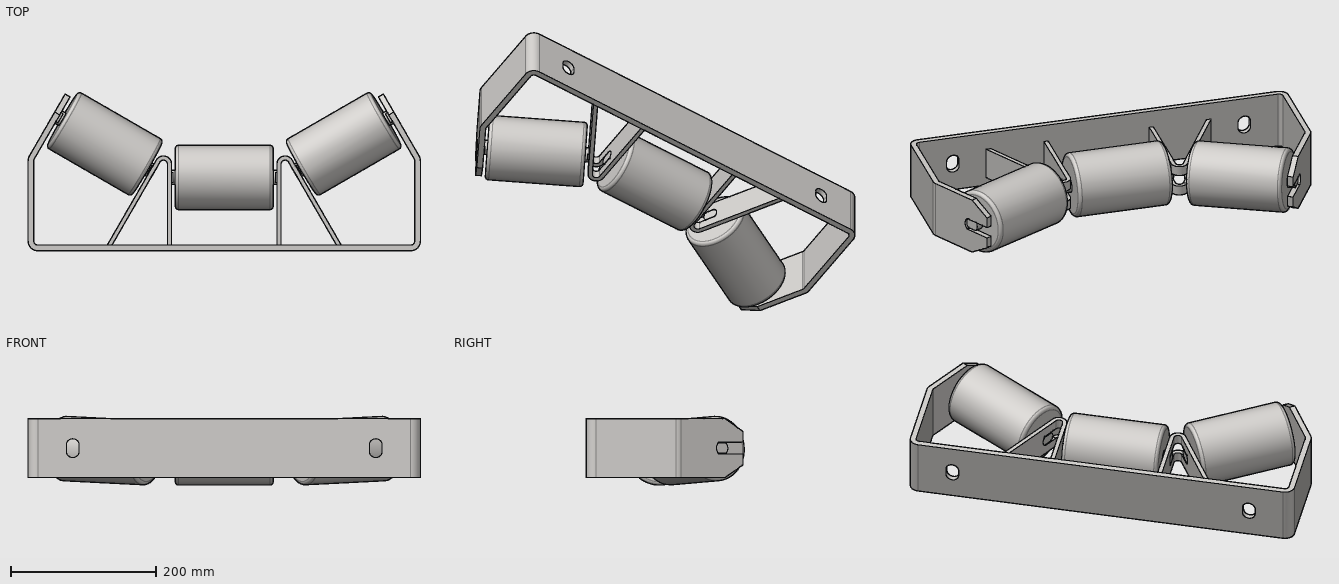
import cadquery as cq
import math


FRAME_LENGTH = 540.0
FRAME_WIDTH = 81.0
FRAME_THICKNESS = 8.0
FRAME_BEND_RADIUS = 13.5
WALL_HEIGHT = 127.5
ARM_LENGTH = 102.0
ARM_ANGLE = 30.0
TIP_CHAMFER_LENGTH = 28.5
TIP_CHAMFER_WIDTH = 17.5
MOUNT_SLOT_SPACING = 417.0
MOUNT_SLOT_HEIGHT = 26.0
MOUNT_SLOT_WIDTH = 18.0

ROLLER_DIAMETER = 89.0
ROLLER_LENGTH = 135.0
ROLLER_FILLET = 5.0
SIDE_GAP = 5.0
SHAFT_DIAMETER = 20.0
SHAFT_FLATS = 14.0
FLAT_LEAD = 1.5
AXIS_HEIGHT = 101.0
AXIS_DROP = 6.5
SIDE_BELOW_BEND = 16.0
SIDE_TILT = 2.5

BRACKET_THICKNESS = 6.0
BRACKET_BEND_RADIUS = 11.5
BRACKET_HEIGHT = 130.5
BRACKET_WIDTH = 44.5
SHAFT_SLOT_WIDTH = 16.0

LEAN_SIN = math.sin(math.radians(ARM_ANGLE))
LEAN_COS = math.cos(math.radians(ARM_ANGLE))
PLATE_OFFSET = ROLLER_LENGTH / 2 + SIDE_GAP
SHAFT_LENGTH = 2 * (PLATE_OFFSET + BRACKET_THICKNESS)
BEND_X = -(PLATE_OFFSET + BRACKET_BEND_RADIUS)
BEND_Y = BRACKET_HEIGHT - BRACKET_BEND_RADIUS
SIDE_REACH = BRACKET_BEND_RADIUS + PLATE_OFFSET
SIDE_X = BEND_X - SIDE_REACH * LEAN_COS - SIDE_BELOW_BEND * LEAN_SIN
SIDE_Y = BEND_Y + SIDE_REACH * LEAN_SIN - SIDE_BELOW_BEND * LEAN_COS
SIDE_Z = PLATE_OFFSET * math.sin(math.radians(SIDE_TILT)) - AXIS_DROP

CENTRE_PLANE = cq.Plane((0, AXIS_HEIGHT, -AXIS_DROP), (0, 1, 0), (-1, 0, 0))
SIDE_PLANE = cq.Plane(
    (SIDE_X, SIDE_Y, SIDE_Z),
    (LEAN_SIN, LEAN_COS, 0),
    (-LEAN_COS, LEAN_SIN, math.tan(math.radians(SIDE_TILT))),
)


def mirrored(body):
    return body.mirror("YZ")


def make_roller(plane):
    """Roller with its shaft; the shaft ends are flattened where they enter the plates."""
    flats_offset = PLATE_OFFSET - FLAT_LEAD
    drum = (
        cq.Workplane(plane)
        .workplane(offset=-ROLLER_LENGTH / 2)
        .circle(ROLLER_DIAMETER / 2)
        .extrude(ROLLER_LENGTH)
        .faces(cq.selectors.ParallelDirSelector(plane.zDir))
        .edges()
        .fillet(ROLLER_FILLET)
    )
    round_shaft = cq.Workplane(plane).circle(SHAFT_DIAMETER / 2).extrude(flats_offset, both=True)
    flat_shaft = (
        cq.Workplane(plane)
        .circle(SHAFT_DIAMETER / 2)
        .extrude(SHAFT_LENGTH / 2, both=True)
        .intersect(cq.Workplane(plane).box(SHAFT_DIAMETER, SHAFT_FLATS, SHAFT_LENGTH))
    )
    return drum.union(round_shaft).union(flat_shaft)


def shaft_slot(plane, end, length):
    """Cutter for an open slot with a round seat, at one end (+1 or -1) of a shaft."""
    radius = SHAFT_DIAMETER / 2
    half_width = SHAFT_SLOT_WIDTH / 2
    seat_x = -math.sqrt(radius**2 - half_width**2)
    depth = SIDE_GAP + 2 * FRAME_THICKNESS
    return (
        cq.Workplane(plane)
        .workplane(offset=end * ROLLER_LENGTH / 2)
        .moveTo(length, half_width)
        .lineTo(seat_x, half_width)
        .threePointArc((-radius, 0), (seat_x, -half_width))
        .lineTo(length, -half_width)
        .close()
        .extrude(end * depth)
    )


def arm_tip_chamfers():
    """Cutter for the two chamfered corners at the tip of the left arm."""
    half = FRAME_WIDTH / 2
    tip = (
        -FRAME_LENGTH / 2 + ARM_LENGTH * LEAN_SIN,
        WALL_HEIGHT + ARM_LENGTH * LEAN_COS,
        0,
    )
    plane = cq.Plane(tip, (LEAN_SIN, LEAN_COS, 0), (-LEAN_COS, LEAN_SIN, 0))
    corner = (
        cq.Workplane(plane)
        .polyline([(0, half), (-TIP_CHAMFER_LENGTH, half), (0, half - TIP_CHAMFER_WIDTH)])
        .close()
        .extrude(2 * FRAME_THICKNESS, both=True)
    )
    return corner.union(corner.mirror("XY"))


def make_frame():
    half_length = FRAME_LENGTH / 2
    tip_x = half_length - ARM_LENGTH * LEAN_SIN
    tip_y = WALL_HEIGHT + ARM_LENGTH * LEAN_COS
    inner_x = half_length - FRAME_THICKNESS
    inner_corner_y = WALL_HEIGHT - FRAME_THICKNESS * math.tan(math.radians(ARM_ANGLE / 2))
    inner_tip_x = tip_x - FRAME_THICKNESS * LEAN_COS
    inner_tip_y = tip_y - FRAME_THICKNESS * LEAN_SIN
    outer = [(half_length, 0), (half_length, WALL_HEIGHT), (tip_x, tip_y)]
    inner = [(inner_tip_x, inner_tip_y), (inner_x, inner_corner_y), (inner_x, FRAME_THICKNESS)]
    right_half = outer + inner
    left_half = [(-x, y) for x, y in reversed(right_half)]
    strip = (
        cq.Workplane("XY")
        .polyline(right_half + left_half)
        .close()
        .extrude(FRAME_WIDTH / 2, both=True)
    )

    tolerance = FRAME_THICKNESS / 10

    def bend_edges(points):
        """Vertical edges at the given corners and at their mirror images."""
        return [
            edge
            for edge in strip.edges("|Z").vals()
            for x, y in points
            if math.hypot(abs(edge.Center().x) - x, edge.Center().y - y) < tolerance
        ]

    outer_bends = bend_edges(outer[:2])
    inner_bends = bend_edges(inner[1:])
    frame = strip.newObject(outer_bends).fillet(FRAME_BEND_RADIUS)
    frame = frame.newObject(inner_bends).fillet(FRAME_BEND_RADIUS - FRAME_THICKNESS)

    arm_cut = arm_tip_chamfers().union(shaft_slot(SIDE_PLANE, 1, ARM_LENGTH))
    mount_slots = (
        cq.Workplane("XZ")
        .rarray(MOUNT_SLOT_SPACING, 5.5, 2, 1)
        .slot2D(MOUNT_SLOT_HEIGHT, MOUNT_SLOT_WIDTH, 90)
        .extrude(-FRAME_THICKNESS)
    )
    return frame.cut(arm_cut).cut(mirrored(arm_cut)).cut(mount_slots)


def make_bracket():
    """Left bracket, standing on the inner face of the base."""
    outer = BRACKET_BEND_RADIUS
    inner = BRACKET_BEND_RADIUS - BRACKET_THICKNESS

    def leg_start(radius):
        return (BEND_X - radius * LEAN_COS, BEND_Y + radius * LEAN_SIN)

    def leg_foot(radius):
        x, y = leg_start(radius)
        return (x - (y - FRAME_THICKNESS) * LEAN_SIN / LEAN_COS, FRAME_THICKNESS)

    strip = (
        cq.Workplane("XY", origin=(0, 0, -AXIS_DROP))
        .moveTo(BEND_X + outer, FRAME_THICKNESS)
        .lineTo(BEND_X + outer, BEND_Y)
        .threePointArc((BEND_X, BEND_Y + outer), leg_start(outer))
        .lineTo(*leg_foot(outer))
        .lineTo(*leg_foot(inner))
        .lineTo(*leg_start(inner))
        .threePointArc((BEND_X, BEND_Y + inner), (BEND_X + inner, BEND_Y))
        .lineTo(BEND_X + inner, FRAME_THICKNESS)
        .close()
        .extrude(BRACKET_WIDTH / 2, both=True)
    )
    bend_notch = cq.Workplane("XY", origin=(BEND_X, BEND_Y + outer, -AXIS_DROP)).box(
        3 * outer, 2 * outer, SHAFT_SLOT_WIDTH
    )
    centre_slot = shaft_slot(CENTRE_PLANE, 1, BEND_Y - AXIS_HEIGHT)
    side_slot = shaft_slot(SIDE_PLANE, -1, SIDE_BELOW_BEND)
    return strip.cut(bend_notch).cut(centre_slot).cut(side_slot)


frame = make_frame()
left_bracket = make_bracket()
brackets = [left_bracket, mirrored(left_bracket)]
centre_roller = make_roller(CENTRE_PLANE)
left_roller = make_roller(SIDE_PLANE)
rollers = [left_roller, centre_roller, mirrored(left_roller)]

result = cq.Compound.makeCompound([body.val() for body in [frame, *brackets, *rollers]])